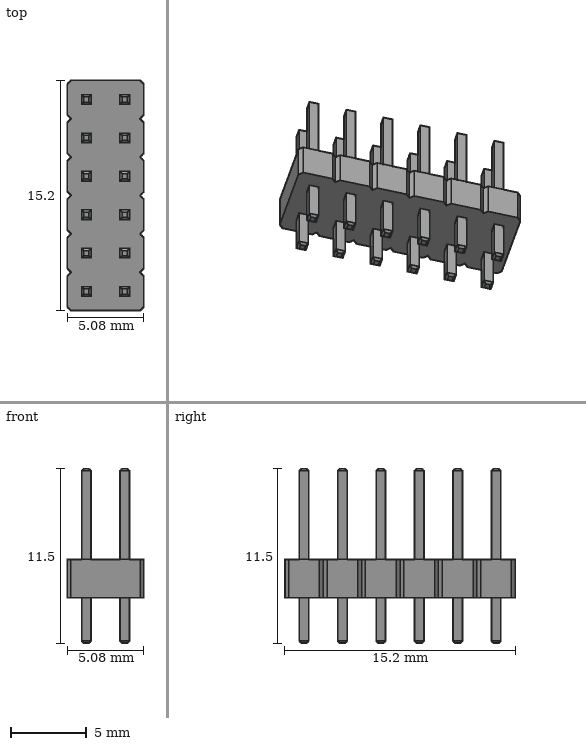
import cadquery as cq

pitch = 2.54
rows = 6
columns = 2
body_height = 2.54
corner_cut = 0.254
pin_width = 0.64
pin_above_body = 6.0
pin_below_body = 3.0
tip_chamfer = 0.15

body_width = columns * pitch
first_row_y = -(rows - 1) / 2 * pitch
pin_length = pin_below_body + body_height + pin_above_body


def make_block(row):
    """Housing of one row of pins, with its four vertical corners cut off."""
    return (
        cq.Workplane("XY")
        .center(0, first_row_y + row * pitch)
        .rect(body_width, pitch)
        .extrude(body_height)
        .edges("|Z")
        .chamfer(corner_cut)
    )


def make_body():
    """Blocks joined along Y; their cut corners meet as V-notches in both sides."""
    body = make_block(0)
    for row in range(1, rows):
        body = body.union(make_block(row))
    return body


def make_pins():
    """Grid of square pins running through the body, chamfered around both tips."""
    return (
        cq.Workplane("XY")
        .workplane(offset=-pin_below_body)
        .rarray(pitch, pitch, columns, rows)
        .rect(pin_width, pin_width)
        .extrude(pin_length)
        .faces("<Z or >Z")
        .edges()
        .chamfer(tip_chamfer)
    )


result = make_body().union(make_pins()).clean()